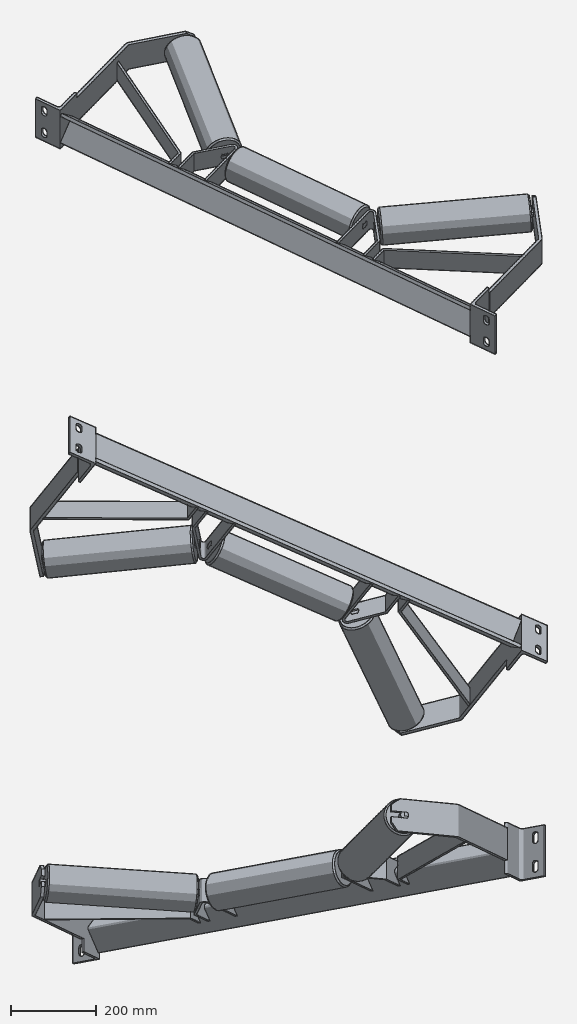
import cadquery as cq
import math


overall_length = 1300.0
foot_width = 70.0
foot_depth = 70.0
foot_height = 125.0
foot_thickness = 7.0
foot_root_radius = 8.0
foot_toe_radius = 4.0
mounting_slot_width = 15.0
mounting_slot_height = 29.0
mounting_slot_spacing = 70.0
mounting_slot_inset = 25.0

beam_half_height = 48.8
beam_thickness = 8.0
beam_root_radius = 8.0
beam_corner_radius = 8.0

roller_diameter = 90.0
roller_length = 356.0
roller_chamfer = 4.0
roller_span = 368.0
middle_roller_y = 135.0
trough_angle = 40.0
side_roller_tilt = 1.5
axle_diameter = 20.0
axle_flats = 14.0

arm_thickness = 8.0
arm_height = 79.0
arm_tip_y = 413.0
arm_bend_radius = 13.0
arm_chamfer_along = 21.0
arm_chamfer_z = 15.0
axle_below_tip = 32.0

plate_thickness = 6.0
plate_height = 57.0
fork_crown_radius = 12.0
fork_crown_y = 164.0
fork_leg_x = 265.0
brace_leg_x = 291.0
brace_top_y = 243.0
brace_slope = 30.5

frame_half_width = overall_length / 2 - foot_width
beam_corner_y = beam_half_height + beam_thickness / math.sqrt(2)
plate_bottom_y = beam_corner_y - plate_height / 2
cos_trough = math.cos(math.radians(trough_angle))
sin_trough = math.sin(math.radians(trough_angle))
tan_brace = math.tan(math.radians(brace_slope))

fork_crown_x = -roller_span / 2 - fork_crown_radius
fork_crown_centre_y = fork_crown_y - fork_crown_radius


def square_line_y(station, x):
    """Y of the line square to the side axle at a station, for a given X."""
    return (x * cos_trough - station) / sin_trough


def from_axle_frame(station, rise):
    """Point at a station, and a rise along the line square to the axle."""
    return (station * cos_trough + rise * sin_trough, -station * sin_trough + rise * cos_trough)


fork_station = fork_crown_x * cos_trough - fork_crown_centre_y * sin_trough - fork_crown_radius
arm_inner_station = fork_station - roller_span
arm_outer_station = arm_inner_station - arm_thickness
tip_rise = (arm_tip_y + arm_outer_station * sin_trough) / cos_trough
side_roller_centre = from_axle_frame(fork_station - roller_span / 2, tip_rise - axle_below_tip)
side_roller_z = roller_span / 2 * math.sin(math.radians(side_roller_tilt))


def plate(outline, bottom_z, height):
    """Plate standing in Z, cut to a closed XY outline."""
    return outline.close().extrude(height).translate((0, 0, bottom_z))


def axle(outer_plate, inner_plate):
    """Axle with two flats along X, ending flush with the plates that carry it."""
    length = roller_span + outer_plate + inner_plate
    bar = cq.Workplane("YZ").circle(axle_diameter / 2).extrude(length)
    flats = cq.Workplane("YZ").rect(axle_diameter, axle_flats).extrude(length)
    return bar.intersect(flats).translate((-roller_span / 2 - outer_plate, 0, 0))


def roller(outer_plate, inner_plate):
    """Roller along X with its axle, centred on the origin."""
    end_plane = cq.Workplane("YZ", origin=(-roller_length / 2, 0, 0))
    drum = end_plane.circle(roller_diameter / 2).extrude(roller_length)
    drum = drum.faces("|X").edges().chamfer(roller_chamfer)
    return drum.union(axle(outer_plate, inner_plate))


def at_middle(body):
    return body.translate((0, middle_roller_y, 0))


def at_side(body):
    tilted = body.rotate((0, 0, 0), (0, 1, 0), side_roller_tilt)
    turned = tilted.rotate((0, 0, 0), (0, 0, 1), -trough_angle)
    return turned.translate((*side_roller_centre, side_roller_z))


def side_axle():
    return at_side(axle(arm_thickness, plate_thickness))


def beam_core():
    """Solid wedge filling the beam from its outer faces to its open side."""
    toe_y = beam_corner_y - beam_half_height
    outline = [(toe_y, -beam_half_height), (beam_corner_y, 0), (toe_y, beam_half_height)]
    wedge = cq.Workplane("YZ").polyline(outline).close().extrude(frame_half_width, both=True)
    return wedge.edges(">Y").fillet(beam_corner_radius)


def beam():
    """Equal-leg angle, made square and then turned so that both legs slope at 45 degrees."""
    leg = beam_half_height * math.sqrt(2)
    angle = (
        cq.Workplane("YZ")
        .polyline([
            (0, 0),
            (-leg, 0),
            (-leg, beam_thickness),
            (-beam_thickness, beam_thickness),
            (-beam_thickness, leg),
            (0, leg),
        ])
        .close()
        .extrude(frame_half_width, both=True)
    )
    root = cq.selectors.NearestToPointSelector((0, -beam_thickness, beam_thickness))
    corner = cq.selectors.NearestToPointSelector((0, 0, 0))
    angle = angle.edges("|X").edges(root).fillet(beam_root_radius)
    angle = angle.edges("|X").edges(corner).fillet(beam_corner_radius)
    return angle.rotate((0, 0, 0), (1, 0, 0), 45).translate((0, beam_corner_y, 0))


def foot():
    """Angle with two upright mounting slots."""
    outer_x = -frame_half_width - foot_thickness
    outline = (
        cq.Workplane("XY")
        .moveTo(-overall_length / 2, 0)
        .lineTo(-frame_half_width, 0)
        .lineTo(-frame_half_width, foot_depth)
        .lineTo(outer_x, foot_depth)
        .lineTo(outer_x, foot_thickness)
        .lineTo(-overall_length / 2, foot_thickness)
    )
    angle = plate(outline, -foot_height / 2, foot_height)
    root = cq.selectors.NearestToPointSelector((outer_x, foot_thickness, 0))
    toe = cq.selectors.NearestToPointSelector((outer_x, foot_depth, 0))
    angle = angle.edges("|Z").edges(root).fillet(foot_root_radius)
    angle = angle.edges("|Z").edges(toe).fillet(foot_toe_radius)
    slots = (
        cq.Workplane("XZ")
        .center(-overall_length / 2 + mounting_slot_inset, 0)
        .rarray(13, mounting_slot_spacing, 1, 2)
        .slot2D(mounting_slot_height, mounting_slot_width, 90)
        .extrude(-foot_thickness)
    )
    return angle.cut(slots)


def axle_slot():
    """Slot for the side axle, open at the arm tip."""
    length = roller_span / 2 + 2 * arm_thickness
    reach = 2 * axle_below_tip
    opening = cq.Workplane("XY").box(length, reach, axle_flats, centered=(False, False, True))
    return at_side(opening.translate((-length, 0, 0)))


def arm():
    """Strip rising from the foot and bent square to the side axle."""
    inner_x = -frame_half_width
    outer_x = inner_x - arm_thickness
    outer_bend = (outer_x, square_line_y(arm_outer_station, outer_x))
    inner_bend = (inner_x, square_line_y(arm_inner_station, inner_x))
    outline = (
        cq.Workplane("XY")
        .moveTo(outer_x, foot_depth)
        .lineTo(*outer_bend)
        .lineTo(*from_axle_frame(arm_outer_station, tip_rise))
        .lineTo(*from_axle_frame(arm_inner_station, tip_rise))
        .lineTo(*inner_bend)
        .lineTo(inner_x, foot_depth)
    )
    strip = plate(outline, beam_half_height - arm_height, arm_height)
    for bend, radius in [(outer_bend, arm_bend_radius), (inner_bend, arm_bend_radius - arm_thickness)]:
        strip = strip.edges("|Z").edges(cq.selectors.NearestToPointSelector((*bend, 0))).fillet(radius)
    across = cq.selectors.ParallelDirSelector(cq.Vector(cos_trough, -sin_trough, 0))
    strip = strip.faces(">Y").edges(across).chamfer(arm_chamfer_z, arm_chamfer_along)
    return strip.cut(axle_slot()).cut(side_axle())


def brace():
    """Bent plate sloping from the arm down to a short leg on the beam."""
    outer_x = -brace_leg_x
    inner_x = outer_x + plate_thickness
    drop = plate_thickness / math.cos(math.radians(brace_slope))

    def upper_y(x):
        return brace_top_y - (x + frame_half_width) * tan_brace

    outline = (
        cq.Workplane("XY")
        .moveTo(-frame_half_width, upper_y(-frame_half_width))
        .lineTo(inner_x, upper_y(inner_x))
        .lineTo(inner_x, plate_bottom_y)
        .lineTo(outer_x, plate_bottom_y)
        .lineTo(outer_x, upper_y(outer_x) - drop)
        .lineTo(-frame_half_width, upper_y(-frame_half_width) - drop)
    )
    return plate(outline, -plate_height / 2, plate_height).cut(beam_core())


def outer_bracket():
    return foot().union(arm()).union(brace())


def fork():
    """Tall leg for the middle roller, rounded crown, and a sloping leg for the side roller."""
    tall_outer_x = -roller_span / 2
    tall_inner_x = tall_outer_x - plate_thickness
    short_outer_x = -fork_leg_x
    short_inner_x = short_outer_x + plate_thickness
    crown = (fork_crown_x, fork_crown_centre_y)
    inside_radius = fork_crown_radius - plate_thickness

    def tangent_point(radius):
        return (crown[0] - radius * cos_trough, crown[1] + radius * sin_trough)

    def crown_top(radius):
        return (crown[0], crown[1] + radius)

    outline = (
        cq.Workplane("XY")
        .moveTo(short_outer_x, plate_bottom_y)
        .lineTo(short_outer_x, square_line_y(fork_station, short_outer_x))
        .lineTo(*tangent_point(fork_crown_radius))
        .threePointArc(crown_top(fork_crown_radius), (tall_outer_x, crown[1]))
        .lineTo(tall_outer_x, plate_bottom_y)
        .lineTo(tall_inner_x, plate_bottom_y)
        .lineTo(tall_inner_x, crown[1])
        .threePointArc(crown_top(inside_radius), tangent_point(inside_radius))
        .lineTo(short_inner_x, square_line_y(fork_station + plate_thickness, short_inner_x))
        .lineTo(short_inner_x, plate_bottom_y)
    )
    blank = plate(outline, -plate_height / 2, plate_height)
    middle_axle = at_middle(axle(plate_thickness, plate_thickness))
    return blank.cut(beam_core()).cut(side_axle()).cut(middle_axle)


side_parts = [
    outer_bracket(),
    fork(),
    at_side(roller(arm_thickness, plate_thickness)),
]
bodies = [beam().val(), at_middle(roller(plate_thickness, plate_thickness)).val()]
for part in side_parts:
    bodies.append(part.val())
    bodies.append(part.mirror("YZ").val())

result = cq.Compound.makeCompound(bodies)